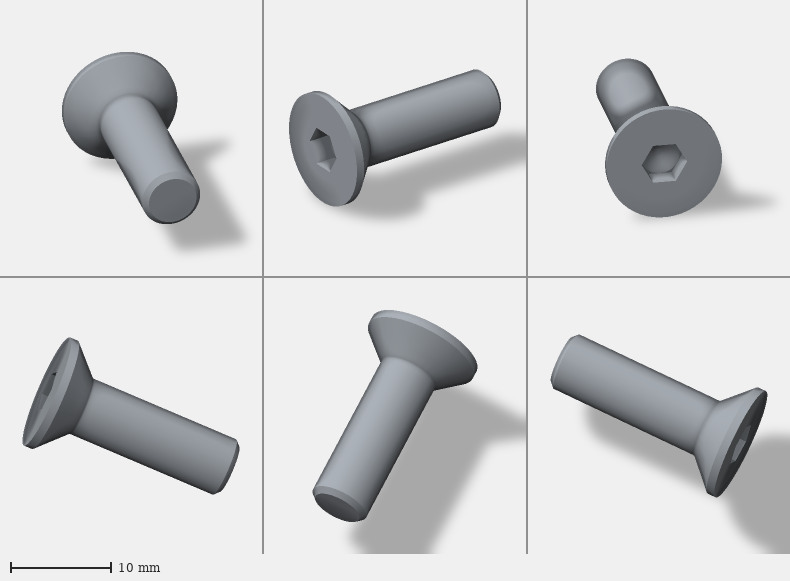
import cadquery as cq
import math

length = 20.0
head_diameter = 11.73
head_rim = 0.87
shank_diameter = 6.0
cone_half_angle = 45.0
neck_radius = 0.25
tip_diameter = 4.917

socket_sides = 6
socket_across_flats = 4.0
socket_depth = 2.2
socket_tip_half_angle = 60.0

head_radius = head_diameter / 2
shank_radius = shank_diameter / 2
tip_radius = tip_diameter / 2
tip_chamfer = shank_radius - tip_radius


def tan_deg(angle):
    return math.tan(math.radians(angle))


def revolve_about_axis(half_profile):
    """Turn a closed half profile a full circle about the X axis."""
    return half_profile.revolve(360, (0, 0, 0), (1, 0, 0))


def make_body():
    """Revolve the half profile of head and shank, with a tangent fillet at the neck."""
    cone_length = (head_radius - shank_radius) / tan_deg(cone_half_angle)
    neck_corner = head_rim + cone_length
    neck_tangent = neck_radius * tan_deg(cone_half_angle / 2)
    fillet_end = neck_corner + neck_tangent
    cone_direction = math.radians(cone_half_angle)
    fillet_start = (
        neck_corner - neck_tangent * math.cos(cone_direction),
        shank_radius + neck_tangent * math.sin(cone_direction),
    )
    half_profile = (
        cq.Workplane("XZ")
        .moveTo(0, 0)
        .lineTo(0, head_radius)
        .lineTo(head_rim, head_radius)
        .lineTo(*fillet_start)
        .tangentArcPoint((fillet_end, shank_radius), relative=False)
        .lineTo(length - tip_chamfer, shank_radius)
        .lineTo(length, tip_radius)
        .lineTo(length, 0)
        .close()
    )
    return revolve_about_axis(half_profile)


def make_socket():
    """Hexagon with corners along Y, ending in a conical drill point."""
    across_corners = socket_across_flats / math.cos(math.pi / socket_sides)
    hexagon = cq.Workplane("YZ").polygon(socket_sides, across_corners).extrude(socket_depth)
    point_radius = socket_across_flats / 2
    point_depth = point_radius / tan_deg(socket_tip_half_angle)
    point_profile = (
        cq.Workplane("XZ")
        .moveTo(socket_depth, 0)
        .lineTo(socket_depth, point_radius)
        .lineTo(socket_depth + point_depth, 0)
        .close()
    )
    return hexagon.union(revolve_about_axis(point_profile))


result = make_body().cut(make_socket())